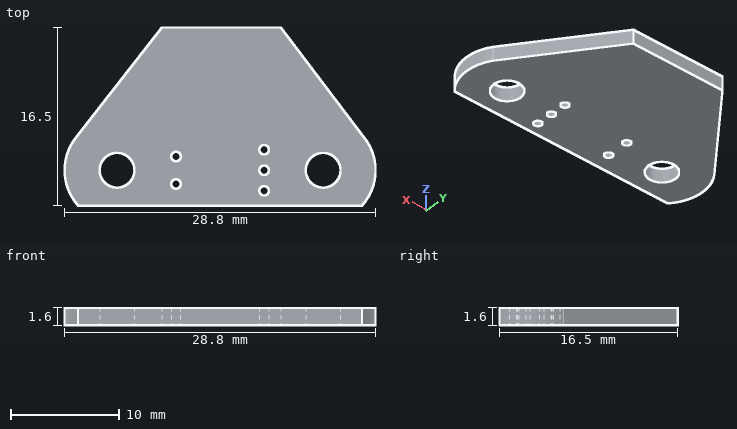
import cadquery as cq
import math

length = 28.8
depth = 16.5
thickness = 1.6
top_edge_width = 11.0
top_edge_shift = 0.12
left_arc_end_y = 6.25
right_arc_end_y = 5.93

mount_spacing = 19.07
mount_height = 3.28
mount_diameter = 3.2

pin_diameter = 0.85
pin_column_spacing = 8.15
pair_pitch = 2.53
triple_pitch = 1.9

end_radius = (length - mount_spacing) / 2
mount_x = mount_spacing / 2
bottom_x = mount_x + math.sqrt(end_radius**2 - mount_height**2)
top_right_x = top_edge_shift + top_edge_width / 2
top_left_x = top_edge_shift - top_edge_width / 2


def arc_end_x(arc_end_y):
    """Distance from the centre line to the rounded end at the given height."""
    return mount_x + math.sqrt(end_radius**2 - (arc_end_y - mount_height) ** 2)


def make_plate():
    return (
        cq.Workplane("XY")
        .moveTo(-bottom_x, 0)
        .lineTo(bottom_x, 0)
        .threePointArc((length / 2, mount_height), (arc_end_x(right_arc_end_y), right_arc_end_y))
        .lineTo(top_right_x, depth)
        .lineTo(top_left_x, depth)
        .lineTo(-arc_end_x(left_arc_end_y), left_arc_end_y)
        .threePointArc((-length / 2, mount_height), (-bottom_x, 0))
        .close()
        .extrude(thickness)
    )


def hole_column(x, count, pitch):
    """Hole centres in a column centred on the mounting-hole line."""
    middle = (count - 1) / 2
    return [(x, mount_height + (i - middle) * pitch) for i in range(count)]


def drill(plate, centres, diameter):
    holes = cq.Workplane("XY").pushPoints(centres).circle(diameter / 2).extrude(thickness)
    return plate.cut(holes)


mount_centres = [(-mount_x, mount_height), (mount_x, mount_height)]
pin_x = pin_column_spacing / 2
pin_centres = hole_column(-pin_x, 2, pair_pitch) + hole_column(pin_x, 3, triple_pitch)

result = make_plate()
result = drill(result, mount_centres, mount_diameter)
result = drill(result, pin_centres, pin_diameter)